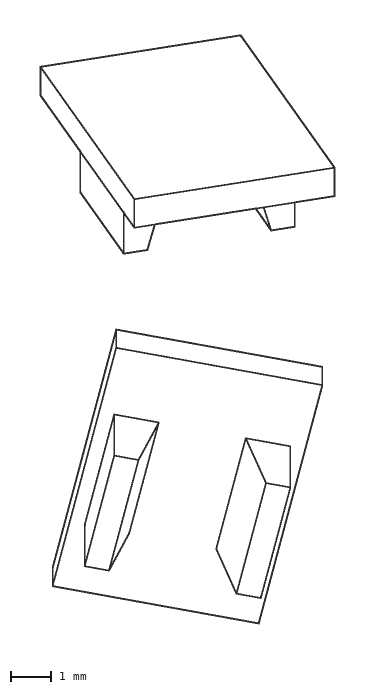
import cadquery as cq

plate_length = 7.3
plate_width = 5.2
total_height = 2.58
plate_thickness = 0.795
leg_height = total_height - plate_thickness

leg_length = 3.39
legs_outer_span = 4.44
leg_root_thickness = 1.125
leg_tip_thickness = 0.61


def make_plate():
    return cq.Workplane("XY").box(
        plate_length, plate_width, plate_thickness, centered=(True, True, False)
    )


def make_leg(side):
    """Leg on the +Y (side = 1) or -Y (side = -1) half, tapering on its inner face."""
    outer_y = legs_outer_span / 2
    profile = [
        (side * outer_y, 0),
        (side * outer_y, -leg_height),
        (side * (outer_y - leg_tip_thickness), -leg_height),
        (side * (outer_y - leg_root_thickness), 0),
    ]
    return cq.Workplane("YZ").polyline(profile).close().extrude(leg_length / 2, both=True)


result = make_plate()
for leg_side in (-1, 1):
    result = result.union(make_leg(leg_side))